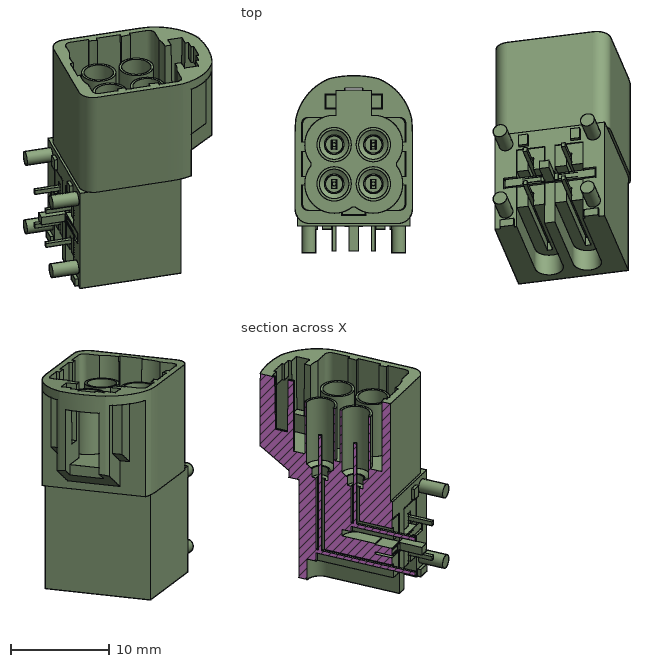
import cadquery as cq
import math


total_height = 22.55
base_height = 11.3
base_width = 11.5
base_depth = 10.75

shroud_half_width = 6.0
shroud_front = 0.25
shroud_corner_radius = 1.5
body_back = 11.87
flange_back = 15.35
flange_thickness = 1.0
catch_thickness = 1.85
side_straight_end = 9.3
side_curve_end = (5.92, 10.92)
dome_shoulder = (4.81, 13.3)
dome_crown_start = (2.5, 15.04)

housing_half_width = 2.85
housing_back = 15.24
housing_overlap = 1.0
housing_floor_front = 12.1
housing_floor_back = 14.25
wing_half_width = 3.9
wing_back = 13.97
wing_floor_front = 14.85
wing_floor_back = 16.2

channel_half_width = 1.83
channel_back = 13.8
undercut_back = 13.9
notch_half_width = 0.9
notch_back = 14.08
ear_half_width = 2.95
ear_front = 11.95
ear_back = 13.45

contact_x = 2.0
front_row_y = 4.3
rear_row_y = 8.3
cavity_floor = 14.5
lobe_radius = 3.0
pocket_half_width = 5.32
pocket_front = 1.6
pocket_back = 11.08
pocket_corner_radius = 0.65
pocket_depth = 6.0
draft_angle = 1.0
lobe_cusp_radius = 0.4
rib_inner = 4.9
rib_spans = ((4.18, 5.03), (7.58, 8.57))
key_half_width = 1.27
key_front = 1.05

tube_diameter = 3.5
tube_top = 20.5
bore_diameter = 3.0
cone_bottom = 13.0
cone_top = 13.35
throat_diameter = 2.0
socket_diameter = 1.75
socket_floor = 12.0
pin_diameter = 0.4
pin_tip = 17.0
shaft_width = 0.56
shaft_length = 0.9

bay_width = 2.92
bay_top = 9.25
bay_recess = 0.1
rear_bay_opening = (0.0, 2.36)
front_bay_opening = (6.02, 6.7)
rear_slot_top = 3.93
front_slot_top = 8.13
lead_width = 0.4
lead_height = 0.46
rear_lead_z = 3.53
front_lead_z = 7.53
lead_end = -2.55
lead_root = 0.5

bar_slot_half_width = 4.82
bar_slot_bottom = 4.81
bar_slot_top = 6.02
bar_slot_depth = 2.0
bar_half_width = 4.7
bar_height = 0.9
bar_recess = 0.1
bar_z = 5.45
ridge_half_width = 2.88
ridge_height = 0.52
hub_half_width = 0.9
hub_height = 0.8
hub_rise = 0.05
tail_width = 1.0
tail_height = 0.88

peg_diameter = 1.45
peg_x = 4.58
peg_levels = (1.92, 10.04)
peg_end = -2.75
pad_rise = 0.35
upper_pad = (2.23, 3.2, 9.57, 10.78)
lower_pad = (3.69, 5.15, 0.0, 0.83)


def box(x0, x1, y0, y1, z0, z1):
    """Box spanning the given limits."""
    size = (x1 - x0, y1 - y0, z1 - z0)
    return cq.Workplane("XY").box(*size, centered=False).translate((x0, y0, z0))


def centred_box(half_width, y0, y1, z0, z1):
    """Box symmetric about the YZ plane."""
    return box(-half_width, half_width, y0, y1, z0, z1)


def cylinder(diameter, x, y, z0, z1):
    """Upright cylinder."""
    disc = cq.Workplane("XY", origin=(x, y, z0)).circle(diameter / 2)
    return disc.extrude(z1 - z0)


def mirrored(solid):
    """The solid together with its mirror image across the YZ plane."""
    return solid.union(solid.mirror("YZ"))


def dome_prism(z0, z1):
    """Full shroud outline, straight at the sides and domed at the back."""
    start_x, start_y = dome_crown_start
    shoulder_x, shoulder_y = dome_shoulder
    curve_x, curve_y = side_curve_end
    outline = (
        cq.Workplane("XY", origin=(0, 0, z0))
        .moveTo(-shroud_half_width, shroud_front)
        .lineTo(shroud_half_width, shroud_front)
        .lineTo(shroud_half_width, side_straight_end)
        .tangentArcPoint(side_curve_end, relative=False)
        .threePointArc(dome_shoulder, dome_crown_start)
        .threePointArc((0, flange_back), (-start_x, start_y))
        .threePointArc((-shoulder_x, shoulder_y), (-curve_x, curve_y))
        .threePointArc(left_curve_middle(), (-shroud_half_width, side_straight_end))
        .close()
    )
    prism = outline.extrude(z1 - z0)
    return prism.edges("|Z and <Y").fillet(shroud_corner_radius)


def left_curve_middle():
    """Middle point of the left side curve, which is tangent to the straight side."""
    curve_x, curve_y = side_curve_end
    drop = shroud_half_width - curve_x
    rise = curve_y - side_straight_end
    return (-(shroud_half_width - drop / 4), side_straight_end + rise / 2)


def sloped_housing(half_width, back, floor_front, floor_back):
    """Housing behind the body whose floor rises towards the back."""
    profile = [
        (body_back - housing_overlap, floor_front),
        (body_back, floor_front),
        (back, floor_back),
        (back, total_height),
        (body_back - housing_overlap, total_height),
    ]
    return cq.Workplane("YZ").polyline(profile).close().extrude(half_width, both=True)


def shroud():
    outline = dome_prism(base_height, total_height)
    body = centred_box(shroud_half_width, 0, body_back, base_height, total_height)
    flange = centred_box(
        shroud_half_width, 0, flange_back, total_height - flange_thickness, total_height
    )
    catch = centred_box(
        channel_half_width, body_back, flange_back, total_height - catch_thickness, total_height
    )
    housing = sloped_housing(
        housing_half_width, housing_back, housing_floor_front, housing_floor_back
    )
    wings = sloped_housing(wing_half_width, wing_back, wing_floor_front, wing_floor_back)
    envelope = body.union(flange).union(catch).union(housing).union(wings)
    return outline.intersect(envelope)


def contact_positions():
    return [(x, y) for x in (-contact_x, contact_x) for y in (front_row_y, rear_row_y)]


def cusp_points():
    """Inward corners where neighbouring lobes meet at the sides and the front."""
    middle_y = (front_row_y + rear_row_y) / 2
    reach_x = math.sqrt(lobe_radius**2 - ((rear_row_y - front_row_y) / 2) ** 2)
    reach_y = math.sqrt(lobe_radius**2 - contact_x**2)
    side = contact_x + reach_x
    return ((-side, middle_y), (side, middle_y), (0, front_row_y - reach_y))


def drafted_pocket(half_width, y0, y1):
    """Rectangular pocket sunk from the rim, narrowing towards its floor on all sides."""
    rim = cq.Workplane("XY", origin=(0, (y0 + y1) / 2, total_height))
    return rim.rect(2 * half_width, y1 - y0).extrude(-pocket_depth, taper=draft_angle)


def corner_pockets():
    """Pocket with leaning side walls and rounded corners, interrupted by upright ribs."""
    pocket_floor = total_height - pocket_depth
    floor_half_width = pocket_half_width - pocket_depth * math.tan(math.radians(draft_angle))
    profile = [
        (-pocket_half_width, total_height),
        (-floor_half_width, pocket_floor),
        (floor_half_width, pocket_floor),
        (pocket_half_width, total_height),
    ]
    pocket = (
        cq.Workplane("XZ", origin=(0, pocket_back, 0))
        .polyline(profile)
        .close()
        .extrude(pocket_back - pocket_front)
        .edges("not (|X or |Y)")
        .fillet(pocket_corner_radius)
    )
    for y0, y1 in rib_spans:
        rib = box(rib_inner, shroud_half_width, y0, y1, pocket_floor, total_height)
        pocket = pocket.cut(mirrored(rib))
    return pocket


def mating_cavity():
    """Four overlapping lobes with rounded cusps, corner pockets and a key slot."""
    cavity = cylinder(2 * lobe_radius, 0, (front_row_y + rear_row_y) / 2, cavity_floor, total_height)
    for x, y in contact_positions():
        cavity = cavity.union(cylinder(2 * lobe_radius, x, y, cavity_floor, total_height))
    for x, y in cusp_points():
        cusp = cq.selectors.NearestToPointSelector((x, y, (cavity_floor + total_height) / 2))
        cavity = cavity.edges("|Z").edges(cusp).fillet(lobe_cusp_radius)
    key = drafted_pocket(key_half_width, key_front, front_row_y)
    return cavity.union(corner_pockets()).union(key)


def latch_channel():
    catch_bottom = total_height - catch_thickness
    channel = centred_box(channel_half_width, rear_row_y, channel_back, cavity_floor, total_height)
    notch = centred_box(notch_half_width, channel_back, notch_back, catch_bottom, total_height)
    undercut = centred_box(
        channel_half_width, channel_back, undercut_back, cavity_floor, catch_bottom
    )
    window = centred_box(
        channel_half_width, undercut_back, flange_back, housing_floor_front, catch_bottom
    )
    ears = drafted_pocket(ear_half_width, ear_front, ear_back)
    return channel.union(notch).union(undercut).union(window).union(ears)


def contact_tube(x, y):
    return cylinder(tube_diameter, x, y, cavity_floor, tube_top)


def contact_bore(x, y):
    """Stepped bore with a conical throat and a flat socket floor."""
    bore_radius = bore_diameter / 2
    throat_radius = throat_diameter / 2
    socket_radius = socket_diameter / 2
    profile = [
        (0, socket_floor),
        (socket_radius, socket_floor),
        (socket_radius, cone_bottom),
        (throat_radius, cone_bottom),
        (bore_radius, cone_top),
        (bore_radius, tube_top),
        (0, tube_top),
    ]
    bore = cq.Workplane("XZ").polyline(profile).close().revolve(360, (0, 0, 0), (0, 1, 0))
    return bore.translate((x, y, 0))


def contact_passage(x, y, slot_bottom, slot_top):
    """Right-angled passage from the socket floor to the board side."""
    half_width = shaft_width / 2
    back = y + shaft_length / 2
    slot = box(x - half_width, x + half_width, 0, back, slot_bottom, slot_top)
    shaft = box(
        x - half_width, x + half_width, y - shaft_length / 2, back, slot_bottom, socket_floor
    )
    return slot.union(shaft)


def contact_pin(x, y, lead_z):
    """Round pin in the socket and the flat lead that leaves through the board side."""
    half_width = lead_width / 2
    half_height = lead_height / 2
    root = y + shaft_length / 2 + lead_root
    lead = box(
        x - half_width, x + half_width, lead_end, root, lead_z - half_height, lead_z + half_height
    )
    return lead.union(cylinder(pin_diameter, x, y, lead_z, pin_tip))


def bay_opening(x, y, levels):
    """Round-ended opening running in from the board side."""
    bottom, top = levels
    half_width = bay_width / 2
    straight = box(x - half_width, x + half_width, 0, y, bottom, top)
    return straight.union(cylinder(bay_width, x, y, bottom, top))


def ground_bar():
    """Flat bar with a tapered ridge, a centre hub and a solder tail."""
    half_bar = bar_height / 2
    bar = centred_box(
        bar_half_width, bar_recess, bar_slot_depth, bar_z - half_bar, bar_z + half_bar
    )
    ridge_profile = [(-ridge_half_width, bar_recess), (0, 0), (ridge_half_width, bar_recess)]
    ridge = (
        cq.Workplane("XY", origin=(0, 0, bar_z))
        .polyline(ridge_profile)
        .close()
        .extrude(ridge_height / 2, both=True)
    )
    half_hub = hub_height / 2
    hub = centred_box(
        hub_half_width, -hub_rise, bar_slot_depth, bar_z - half_hub, bar_z + half_hub
    )
    half_tail = tail_height / 2
    tail = centred_box(
        tail_width / 2, lead_end, bar_slot_depth, bar_z - half_tail, bar_z + half_tail
    )
    return bar.union(ridge).union(hub).union(tail)


def pegs():
    points = [(side * peg_x, z) for side in (-1, 1) for z in peg_levels]
    return cq.Workplane("XZ").pushPoints(points).circle(peg_diameter / 2).extrude(-peg_end)


def pads():
    solids = []
    for x0, x1, z0, z1 in (upper_pad, lower_pad):
        solids.append(mirrored(box(x0, x1, -pad_rise, 0, z0, z1)))
    return solids[0].union(solids[1])


result = centred_box(base_width / 2, 0, base_depth, 0, base_height).union(shroud())
result = result.cut(mating_cavity()).cut(latch_channel())

for side in (-1, 1):
    bay_left = side * contact_x - bay_width / 2
    result = result.cut(box(bay_left, bay_left + bay_width, 0, bay_recess, 0, bay_top))
    result = result.cut(bay_opening(side * contact_x, rear_row_y, rear_bay_opening))
    result = result.cut(bay_opening(side * contact_x, front_row_y, front_bay_opening))

result = result.cut(
    centred_box(bar_slot_half_width, 0, bar_slot_depth, bar_slot_bottom, bar_slot_top)
)
result = result.union(ground_bar())

contact_rows = (
    (front_row_y, front_bay_opening[1], front_slot_top, front_lead_z),
    (rear_row_y, rear_bay_opening[1], rear_slot_top, rear_lead_z),
)
for row_y, slot_bottom, slot_top, lead_z in contact_rows:
    for contact in (-contact_x, contact_x):
        result = result.union(contact_tube(contact, row_y)).cut(contact_bore(contact, row_y))
        result = result.cut(contact_passage(contact, row_y, slot_bottom, slot_top))
        result = result.union(contact_pin(contact, row_y, lead_z))

result = result.union(pegs()).union(pads())